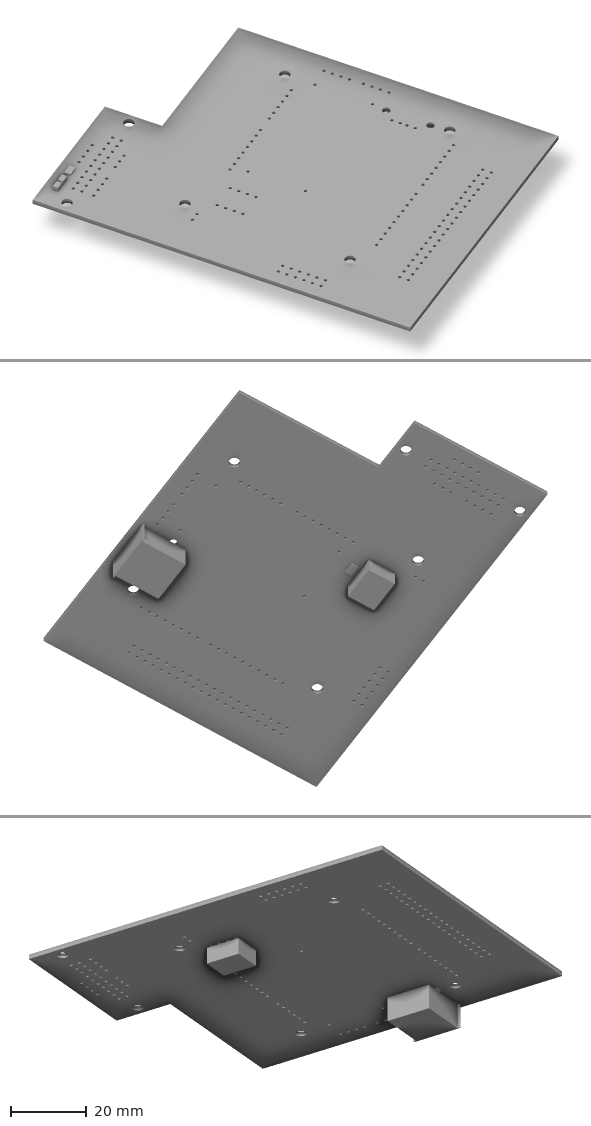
import cadquery as cq


BOARD_LENGTH = 112.2
BOARD_WIDTH = 86.2
BOARD_THICKNESS = 1.3
NOTCH_LENGTH = 17.1
TAB_WIDTH = 42.0

LONG_HEADER_PINS = 20
LONG_HEADER_SPAN = 48.3
PITCH = LONG_HEADER_SPAN / (LONG_HEADER_PINS - 1)
PIN_HOLE_DIAMETER = 0.9

PIN_GRIDS = [
    (100.6, 65.1, 2, LONG_HEADER_PINS),
    (41.0, 70.3, 1, 6),
    (41.0, 52.4, 1, 8),
    (89.2, 70.3, 1, 8),
    (89.2, 48.4, 1, 10),
    (45.1, 81.2, 4, 1),
    (56.8, 81.3, 4, 1),
    (41.3, 14.8, 1, 2),
    (70.9, 6.7, 6, 2),
    (4.0, 26.7, 1, 4),
    (7.5, 31.9, 2, 10),
    (13.5, 26.8, 1, 3),
    (13.6, 16.6, 1, 4),
]

POST_COLUMNS = (45.6, 62.6)
POST_ROWS = (36.1, 75.1)

MOUNT_HOLE_DIAMETER = 3.0
MODULE_MOUNT_COLUMNS = (36.6, 85.6)
MODULE_MOUNT_ROWS = (17.1, 75.1)
TAB_MOUNT_COLUMNS = (8.6,)
TAB_MOUNT_ROWS = (3.1, 39.1)

USB_CENTER_X = 73.6
USB_BACK_Y = 70.7
USB_FRONT_Y = 84.6
USB_WIDTH = 13.1
USB_HEIGHT = 7.1
USB_FLANGE_WIDTH = 14.7
USB_FLANGE_THICKNESS = 0.39
USB_LATCH_HOLE_DIAMETER = 2.2
USB_LATCH_HOLE_Y = 74.5
USB_PIN_HOLE_DIAMETER = 0.92
USB_PIN_HOLE_Y = 71.7
USB_INNER_PIN_OFFSET = 1.0
USB_OUTER_PIN_OFFSET = 3.5

DIP_COLUMNS = 4
DIP_FIRST_PIN_X = 44.5
DIP_LOWER_ROW_Y = 20.4
DIP_ROW_SPACING = 3 * PITCH
DIP_UPPER_ROW_Y = DIP_LOWER_ROW_Y + DIP_ROW_SPACING
DIP_CENTER_X = DIP_FIRST_PIN_X + (DIP_COLUMNS - 1) * PITCH / 2
DIP_CENTER_Y = DIP_LOWER_ROW_Y + DIP_ROW_SPACING / 2
DIP_LENGTH = 10.1
DIP_WIDTH = 8.2
DIP_HEIGHT = 4.7
DIP_GAP = 0.39

OVERALL_HEIGHT = 9.8
LED_LENGTH = 1.6
LED_WIDTH = 2.4
LED_HEIGHT = OVERALL_HEIGHT - USB_HEIGHT - BOARD_THICKNESS
LED_CENTER_X = 3.7
LED_ROWS = (7.1, 10.1)

RESISTOR_LENGTH = 3.1
RESISTOR_WIDTH = 1.9
RESISTOR_HEIGHT = 0.5
TOP_RESISTOR_CENTER = (3.6, 14.7)
BOTTOM_RESISTOR_CENTER = (DIP_CENTER_X, 30.4)


def block(size_x, size_y, bottom, height, center):
    """A box centred on a point in X and Y, standing on the level `bottom`."""
    return cq.Workplane("XY", origin=(*center, bottom)).rect(size_x, size_y).extrude(height)


def pin_grid(first_x, first_y, columns, rows):
    """Points on the pin pitch, from the upper left one to the right and down."""
    return [(first_x + i * PITCH, first_y - j * PITCH) for i in range(columns) for j in range(rows)]


def crossings(columns, rows):
    """The points where the given columns and rows cross."""
    return [(x, y) for x in columns for y in rows]


def drill(body, points, diameter):
    """Cut round holes through the whole board."""
    cutters = cq.Workplane("XY").pushPoints(points).circle(diameter / 2).extrude(BOARD_THICKNESS)
    return body.cut(cutters)


def make_blank():
    """The board without its holes."""
    outline = [
        (0, 0),
        (BOARD_LENGTH, 0),
        (BOARD_LENGTH, BOARD_WIDTH),
        (NOTCH_LENGTH, BOARD_WIDTH),
        (NOTCH_LENGTH, TAB_WIDTH),
        (0, TAB_WIDTH),
    ]
    return cq.Workplane("XY").polyline(outline).close().extrude(BOARD_THICKNESS)


def drill_pin_holes(body):
    points = crossings(POST_COLUMNS, POST_ROWS)
    for grid in PIN_GRIDS:
        points += pin_grid(*grid)
    for row_y in (DIP_LOWER_ROW_Y, DIP_UPPER_ROW_Y):
        points += pin_grid(DIP_FIRST_PIN_X, row_y, DIP_COLUMNS, 1)
    return drill(body, points, PIN_HOLE_DIAMETER)


def drill_mounting_holes(body):
    points = crossings(MODULE_MOUNT_COLUMNS, MODULE_MOUNT_ROWS)
    points += crossings(TAB_MOUNT_COLUMNS, TAB_MOUNT_ROWS)
    return drill(body, points, MOUNT_HOLE_DIAMETER)


def drill_usb_holes(body):
    """Latch holes centred on the sides of the socket, and a row of four pin holes."""
    latches = [(USB_CENTER_X + side * USB_WIDTH / 2, USB_LATCH_HOLE_Y) for side in (-1, 1)]
    pins = [
        (USB_CENTER_X + side * offset, USB_PIN_HOLE_Y)
        for side in (-1, 1)
        for offset in (USB_INNER_PIN_OFFSET, USB_OUTER_PIN_OFFSET)
    ]
    body = drill(body, latches, USB_LATCH_HOLE_DIAMETER)
    return drill(body, pins, USB_PIN_HOLE_DIAMETER)


def make_board():
    body = make_blank()
    body = drill_pin_holes(body)
    body = drill_mounting_holes(body)
    return drill_usb_holes(body)


def make_usb_socket():
    shell_center = (USB_CENTER_X, (USB_BACK_Y + USB_FRONT_Y) / 2)
    shell = block(USB_WIDTH, USB_FRONT_Y - USB_BACK_Y, -USB_HEIGHT, USB_HEIGHT, shell_center)
    flange_center = (USB_CENTER_X, USB_FRONT_Y - USB_FLANGE_THICKNESS / 2)
    flange = block(USB_FLANGE_WIDTH, USB_FLANGE_THICKNESS, -USB_HEIGHT, USB_HEIGHT, flange_center)
    return shell.union(flange)


def make_dip_chip():
    bottom = -DIP_GAP - DIP_HEIGHT
    return block(DIP_LENGTH, DIP_WIDTH, bottom, DIP_HEIGHT, (DIP_CENTER_X, DIP_CENTER_Y))


def make_led(center_y):
    return block(LED_LENGTH, LED_WIDTH, BOARD_THICKNESS, LED_HEIGHT, (LED_CENTER_X, center_y))


def make_resistor(center, bottom, angle):
    """A resistor whose long side is turned by `angle` degrees from the X axis."""
    lying = block(RESISTOR_LENGTH, RESISTOR_WIDTH, bottom, RESISTOR_HEIGHT, (0, 0))
    return lying.rotate((0, 0, 0), (0, 0, 1), angle).translate((*center, 0))


board = make_board()
usb_socket = make_usb_socket()
dip_chip = make_dip_chip()
leds = [make_led(center_y) for center_y in LED_ROWS]
resistors = [
    make_resistor(center, bottom, angle)
    for center, bottom, angle in (
        (TOP_RESISTOR_CENTER, BOARD_THICKNESS, 90),
        (BOTTOM_RESISTOR_CENTER, -RESISTOR_HEIGHT, 0),
    )
]

result = cq.Compound.makeCompound([
    board.val(),
    usb_socket.val(),
    dip_chip.val(),
    *[led.val() for led in leds],
    *[resistor.val() for resistor in resistors],
])